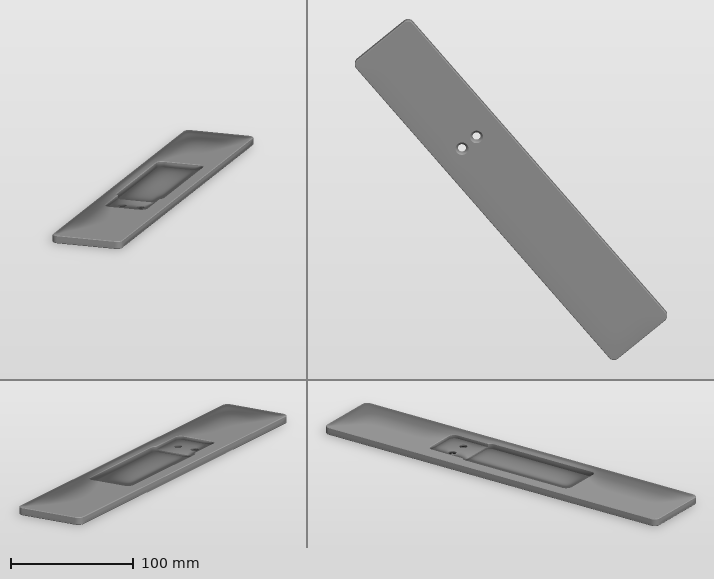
import cadquery as cq

plate_length = 330.0
plate_width = 60.0
plate_thickness = 6.5
corner_radius = 5.0
edge_chamfer = 0.5

recess_length = 140.5
main_pocket_length = 106.3
main_pocket_width = 40.3
main_pocket_depth = 5.0
end_pocket_width = 35.5
end_pocket_depth = 3.3
pocket_corner_radius = 5.0

hole_diameter = 6.5
countersink_depth = 2.0
hole_spacing = 15.5
hole_to_recess_end = 17.5

recess_top_y = recess_length / 2
recess_bottom_y = -recess_length / 2
main_pocket_bottom_y = recess_top_y - main_pocket_length
main_pocket_centre_y = (recess_top_y + main_pocket_bottom_y) / 2


def rounded_block(width, length, height, radius, centre_y, bottom_z):
    """Block with rounded vertical corners, centred on X = 0."""
    return (
        cq.Workplane("XY", origin=(0, centre_y, bottom_z))
        .rect(width, length)
        .extrude(height)
        .edges("|Z")
        .fillet(radius)
    )


def pocket(width, length, depth, centre_y):
    """Cutter that sinks a rounded pocket into the top face."""
    bottom_z = plate_thickness - depth
    return rounded_block(width, length, depth, pocket_corner_radius, centre_y, bottom_z)


plate = rounded_block(plate_width, plate_length, plate_thickness, corner_radius, 0, 0)

main_pocket = pocket(main_pocket_width, main_pocket_length, main_pocket_depth, main_pocket_centre_y)

end_pocket_top_y = main_pocket_bottom_y + 2 * pocket_corner_radius
end_pocket = pocket(
    end_pocket_width,
    end_pocket_top_y - recess_bottom_y,
    end_pocket_depth,
    (end_pocket_top_y + recess_bottom_y) / 2,
)

hole_y = recess_bottom_y + hole_to_recess_end
hole_radius = hole_diameter / 2


def countersunk_hole(centre_x):
    """Cutter for one through hole, widened by a cone at the bottom face."""
    bore = cq.Workplane("XY").circle(hole_radius).extrude(plate_thickness)
    mouth_radius = hole_radius + countersink_depth
    cone = cq.Solid.makeCone(mouth_radius, hole_radius, countersink_depth)
    return bore.union(cq.Workplane(cone)).translate((centre_x, hole_y, 0))


recessed_plate = plate.cut(main_pocket).cut(end_pocket)
result = recessed_plate.faces("<Z or >Z").edges().chamfer(edge_chamfer)

for hole_x in (-hole_spacing / 2, hole_spacing / 2):
    result = result.cut(countersunk_hole(hole_x))